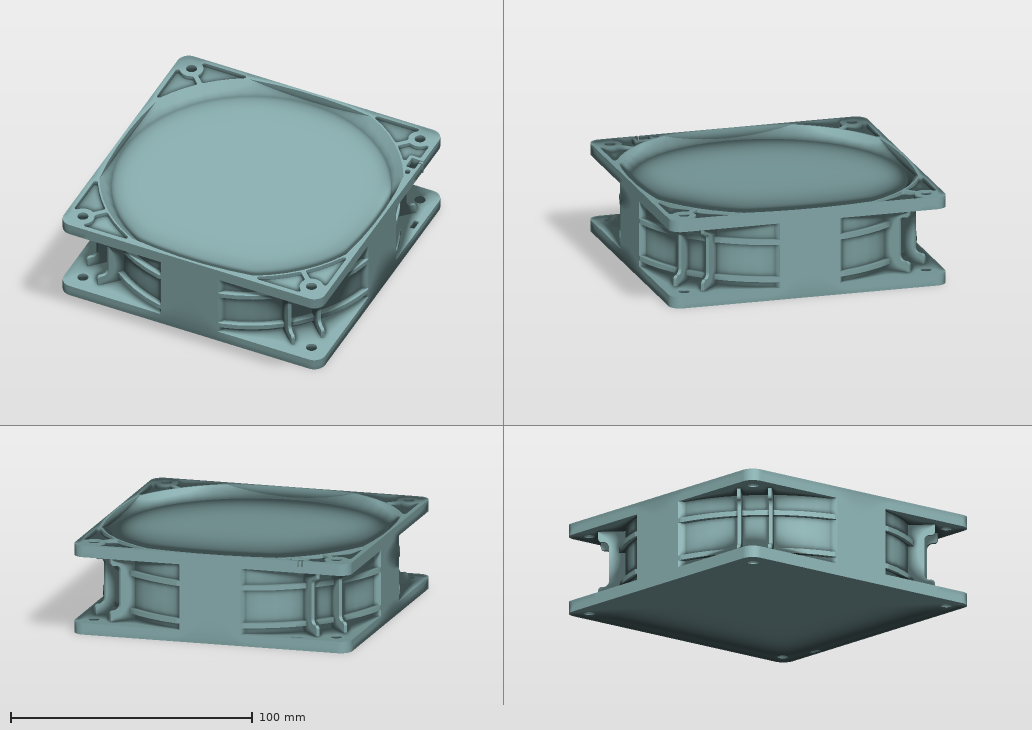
import cadquery as cq
import math

SIDE = 120.0
HEIGHT = 38.0
FLANGE = 4.9
CORNER_RADIUS = 5.0
HOLE_PITCH = 105.0
HOLE_DIAMETER = 4.6

BARREL_RADIUS = 59.2
RING_RADIUS = 61.8
RING_THICKNESS = 2.0
RING_BOTTOMS = (7.7, 23.8)
FLAT_HALF_WIDTH = 13.1
FLAT_ROOT_HALF_WIDTH = 14.8
FLAT_ROOT_DEPTH = 2.8

RIB_OFFSET = 6.5
RIB_THICKNESS = 1.5
RIB_TIP = 70.1
RIB_WAIST = 65.6
WAIST_HALF_HEIGHT = 9.6
RIB_TIP_FILLET = 1.5
RIB_WAIST_FILLET = 2.3

FLOOR_RADIUS = 58.0
MOUTH_RADIUS = 63.1
INLET_DEPTH = 4.9
INLET_SIDE_MIDDLE = 58.9
INLET_SIDE_END_ALONG = 29.5
INLET_SIDE_END = 56.3

POCKET_DEPTH = 2.0
POCKET_WALL = 2.0
POCKET_INNER_RADIUS = 63.8
POCKET_FILLET = 1.0
BOSS_RADIUS = 4.9
WEB_THICKNESS = 2.0

SLOT_LEFT, SLOT_RIGHT = 54.7, 58.8
SLOT_FRONT, SLOT_BACK = 34.0, 40.0
SLOT_FILLET = 0.6
SLOT_WALL = 1.5
LOWER_SLOT_LEFT, LOWER_SLOT_RIGHT = 56.1, 58.3
LOWER_SLOT_FRONT, LOWER_SLOT_BACK = 34.5, 39.5
ENTRY_FRONT = 37.8
ENTRY_DEPTH = 2.4
TAB_GAP = 0.6
TAB_OVERHANG = 0.4

HALF = SIDE / 2
DIAGONAL = HALF * math.sqrt(2)
BOSS_DISTANCE = HOLE_PITCH / math.sqrt(2)
GAP = HEIGHT - 2 * FLANGE
CORNER_ANGLES = (45, 135, 225, 315)


def box(x0, x1, y0, y1, z0, z1):
    return cq.Workplane("XY").box(x1 - x0, y1 - y0, z1 - z0, centered=False).translate((x0, y0, z0))


def disk(radius, z0, thickness):
    return cq.Workplane("XY").workplane(offset=z0).circle(radius).extrude(thickness)


def rounded_square(z0, thickness):
    plate = cq.Workplane("XY").workplane(offset=z0).rect(SIDE, SIDE).extrude(thickness)
    return plate.edges("|Z").fillet(CORNER_RADIUS)


def side_block():
    """Block carrying the flat middle of one side, with sloping ends down to the barrel."""
    root = HALF - FLAT_ROOT_DEPTH
    return (
        cq.Workplane("XY").workplane(offset=FLANGE)
        .polyline([
            (HALF, -FLAT_HALF_WIDTH),
            (HALF, FLAT_HALF_WIDTH),
            (root, FLAT_ROOT_HALF_WIDTH),
            (0, FLAT_ROOT_HALF_WIDTH),
            (0, -FLAT_ROOT_HALF_WIDTH),
            (root, -FLAT_ROOT_HALF_WIDTH),
        ])
        .close().extrude(GAP)
    )


def rib(offset):
    """Plate along +X whose outer end is set back at mid height."""
    length = RIB_TIP
    plate = box(0, length, offset - RIB_THICKNESS / 2, offset + RIB_THICKNESS / 2, FLANGE, HEIGHT - FLANGE)
    notch = box(
        RIB_WAIST, length + 1.2, offset - RIB_THICKNESS, offset + RIB_THICKNESS,
        HEIGHT / 2 - WAIST_HALF_HEIGHT, HEIGHT / 2 + WAIST_HALF_HEIGHT,
    ).edges("<X and |Y").fillet(RIB_WAIST_FILLET)
    plate = plate.cut(notch)
    tip_edges = cq.selectors.BoxSelector(
        (length - 0.1, offset - RIB_THICKNESS, FLANGE + 0.1),
        (length + 0.1, offset + RIB_THICKNESS, HEIGHT - FLANGE - 0.1),
    )
    return plate.edges(tip_edges).edges("|Y").fillet(RIB_TIP_FILLET)


def housing():
    body = disk(BARREL_RADIUS, FLANGE, GAP)
    for z in RING_BOTTOMS:
        body = body.union(disk(RING_RADIUS, z, RING_THICKNESS))
    body = body.intersect(rounded_square(0, HEIGHT))
    axis_start, axis_end = (0, 0, 0), (0, 0, 1)
    for angle in (0, 90, 180, 270):
        body = body.union(side_block().rotate(axis_start, axis_end, angle))
    for angle in CORNER_ANGLES:
        for offset in (-RIB_OFFSET, RIB_OFFSET):
            body = body.union(rib(offset).rotate(axis_start, axis_end, angle))
    for z in (0, HEIGHT - FLANGE):
        body = body.union(rounded_square(z, FLANGE))
    return body


def inlet():
    """Conical mouth, cut back on its four sides by shallow arcs."""
    floor = HEIGHT - INLET_DEPTH
    cone = (
        cq.Workplane("XY").workplane(offset=floor).circle(FLOOR_RADIUS)
        .workplane(offset=INLET_DEPTH).circle(MOUTH_RADIUS).loft(ruled=True)
    )
    a, e, m = INLET_SIDE_END_ALONG, INLET_SIDE_END, INLET_SIDE_MIDDLE
    sides = (
        cq.Workplane("XY").workplane(offset=floor)
        .moveTo(-a, e).threePointArc((0, m), (a, e))
        .lineTo(HALF, HALF).lineTo(e, a)
        .threePointArc((m, 0), (e, -a))
        .lineTo(HALF, -HALF).lineTo(a, -e)
        .threePointArc((0, -m), (-a, -e))
        .lineTo(-HALF, -HALF).lineTo(-e, -a)
        .threePointArc((-m, 0), (-e, a))
        .lineTo(-HALF, HALF).close()
        .extrude(INLET_DEPTH)
    )
    return cone.intersect(sides)


def slot_surround(z0):
    """Solid material kept around the cable slot."""
    return box(SLOT_LEFT - SLOT_WALL, HALF, SLOT_FRONT - SLOT_WALL, SLOT_BACK + SLOT_WALL, z0, HEIGHT)


def pockets():
    """Two shallow pockets per corner, separated by the boss and its web."""
    z0 = HEIGHT - POCKET_DEPTH
    reach = HALF - POCKET_WALL
    area = box(-reach, reach, -reach, reach, z0, HEIGHT)
    area = area.cut(disk(POCKET_INNER_RADIUS, z0, POCKET_DEPTH))
    for angle in CORNER_ANGLES:
        boss = disk(BOSS_RADIUS, z0, POCKET_DEPTH).translate((BOSS_DISTANCE, 0, 0))
        web = box(0, BOSS_DISTANCE, -WEB_THICKNESS / 2, WEB_THICKNESS / 2, z0, HEIGHT)
        tail = box(BOSS_DISTANCE, DIAGONAL, -BOSS_RADIUS, BOSS_RADIUS, z0, HEIGHT)
        keep = boss.union(web).union(tail)
        area = area.cut(keep.rotate((0, 0, 0), (0, 0, 1), angle))
    area = area.cut(slot_surround(z0))
    return area.edges("|Z").fillet(POCKET_FILLET)


def cut_cable_slot(body):
    slot = box(SLOT_LEFT, SLOT_RIGHT, SLOT_FRONT, SLOT_BACK, HEIGHT - FLANGE, HEIGHT)
    slot = slot.edges("|Z and <Y").fillet(SLOT_FILLET)
    lower_slot = box(LOWER_SLOT_LEFT, LOWER_SLOT_RIGHT, LOWER_SLOT_FRONT, LOWER_SLOT_BACK, 0, FLANGE)
    entry_floor = HEIGHT - ENTRY_DEPTH
    entry = box(SLOT_RIGHT, HALF, ENTRY_FRONT, SLOT_BACK, entry_floor, HEIGHT)
    tab = box(
        SLOT_RIGHT, HALF + TAB_OVERHANG, ENTRY_FRONT + TAB_GAP, SLOT_BACK - TAB_GAP,
        HEIGHT - FLANGE, HEIGHT,
    )
    return body.cut(slot).cut(lower_slot).cut(entry).union(tab)


def screw_holes():
    return (
        cq.Workplane("XY").rect(HOLE_PITCH, HOLE_PITCH, forConstruction=True).vertices()
        .circle(HOLE_DIAMETER / 2).extrude(HEIGHT)
    )


result = housing().cut(inlet()).cut(pockets()).cut(screw_holes())
result = cut_cable_slot(result)